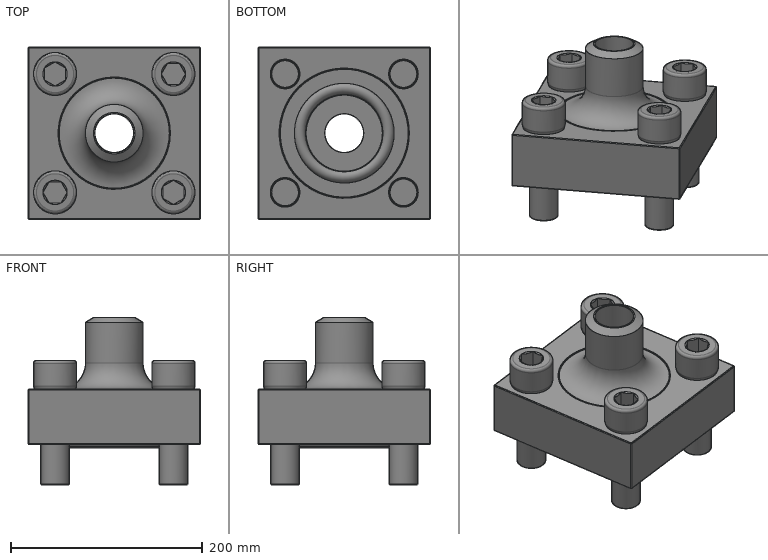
import cadquery as cq
import math

plate_width = 180.0
plate_thickness = 58.0
plate_chamfer = 0.9

bolt_spacing = 123.7
bolt_hole_diameter = 31.0

shank_diameter = 30.0
shank_length = 100.0
shank_end_chamfer = 1.0
head_diameter = 45.0
head_height = shank_diameter
head_top_fillet = 3.0
head_taper_height = 3.0
head_taper_angle = 15.0
socket_corner_diameter = 25.4
socket_depth = 18.0
socket_countersink_angle = 30.0

pipe_diameter = 60.3
pipe_top = 74.9
bore_diameter = 40.3
weld_bevel_height = 5.0
weld_bevel_width = 8.5
hub_diameter = 115.0
hub_opening_diameter = 115.5
hub_opening_chamfer = 0.9
collar_diameter = 135.0
collar_opening_diameter = 136.0
collar_height = 28.8
collar_projection = 2.2
collar_chamfer = 0.7

groove_inner_diameter = 79.5
groove_outer_diameter = 104.2
seal_mean_diameter = 92.5
seal_projection = 1.5

plate_bottom = -plate_thickness
collar_bottom = plate_bottom - collar_projection
collar_top = collar_bottom + collar_height
hub_fillet = (hub_diameter - pipe_diameter) / 2
seal_section_radius = (groove_outer_diameter - seal_mean_diameter) / 2
seal_center_z = collar_bottom - seal_projection + seal_section_radius
groove_depth = 2 * seal_section_radius - seal_projection


def cylinder(diameter, bottom, height):
    """Upright cylinder on the pipe axis."""
    return cq.Workplane("XY", origin=(0, 0, bottom)).circle(diameter / 2).extrude(height)


def make_plate():
    """Square flange plate with a stepped centre opening and four bolt holes."""
    block = (
        cq.Workplane("XY", origin=(0, 0, plate_bottom))
        .rect(plate_width, plate_width)
        .extrude(plate_thickness)
        .edges()
        .chamfer(plate_chamfer)
    )
    bolt_holes = (
        cq.Workplane("XY", origin=(0, 0, plate_bottom))
        .rect(bolt_spacing, bolt_spacing, forConstruction=True)
        .vertices()
        .circle(bolt_hole_diameter / 2)
        .extrude(plate_thickness)
    )
    hub_opening = cylinder(hub_opening_diameter, plate_bottom, plate_thickness)
    hub_opening_bevel = (
        cq.Workplane("XY")
        .circle(hub_opening_diameter / 2 + hub_opening_chamfer)
        .extrude(-hub_opening_chamfer, taper=45)
    )
    collar_recess_depth = collar_top - plate_bottom
    collar_recess = cylinder(collar_opening_diameter, plate_bottom, collar_recess_depth)
    return block.cut(bolt_holes).cut(hub_opening).cut(hub_opening_bevel).cut(collar_recess)


def make_weld_neck():
    """Bored pipe stub that flares into a hub, with a retaining collar and a seal groove below."""
    bore = bore_diameter / 2
    pipe = pipe_diameter / 2
    hub = hub_diameter / 2
    collar = collar_diameter / 2
    fillet_middle = hub_fillet * math.sin(math.radians(45))
    neck = (
        cq.Workplane("XZ")
        .moveTo(bore, collar_bottom)
        .lineTo(collar - collar_chamfer, collar_bottom)
        .lineTo(collar, collar_bottom + collar_chamfer)
        .lineTo(collar, collar_top)
        .lineTo(hub, collar_top)
        .lineTo(hub, 0)
        .threePointArc((hub - fillet_middle, hub_fillet - fillet_middle), (pipe, hub_fillet))
        .lineTo(pipe, pipe_top - weld_bevel_height)
        .lineTo(pipe - weld_bevel_width, pipe_top)
        .lineTo(bore, pipe_top)
        .close()
        .revolve(360, (0, 0), (0, 1))
    )
    groove = cylinder(groove_outer_diameter, collar_bottom, groove_depth).cut(
        cylinder(groove_inner_diameter, collar_bottom, groove_depth)
    )
    return neck.cut(groove)


def make_seal():
    """O-ring in the groove, standing proud of the collar face."""
    middle = seal_mean_diameter / 2
    section_plane = cq.Plane(origin=(middle, 0, seal_center_z), xDir=(0, 0, -1), normal=(0, 1, 0))
    return cq.Workplane(section_plane).circle(seal_section_radius).revolve(360, (0, middle), (1, middle))


def make_bolt():
    """Socket head cap screw on the Z axis, with its head seated on Z = 0."""
    head_taper_width = head_taper_height * math.tan(math.radians(head_taper_angle))
    head = (
        cylinder(head_diameter, 0, head_height)
        .faces(">Z")
        .edges()
        .fillet(head_top_fillet)
        .faces("<Z")
        .edges()
        .chamfer(head_taper_height, head_taper_width)
    )
    shank = cylinder(shank_diameter, -shank_length, shank_length).faces("<Z").chamfer(shank_end_chamfer)
    socket = (
        cq.Workplane("XY", origin=(0, 0, head_height))
        .polygon(6, socket_corner_diameter)
        .extrude(-socket_depth)
    )
    countersink_radius = socket_corner_diameter / 2
    countersink_depth = countersink_radius * math.tan(math.radians(socket_countersink_angle))
    countersink_tip = cq.Vector(0, 0, head_height - countersink_depth)
    countersink = cq.Workplane(
        cq.Solid.makeCone(0, countersink_radius, countersink_depth, countersink_tip)
    )
    return head.union(shank).cut(socket).cut(countersink)


def make_bolts():
    """Four bolts set by quarter turns about the pipe axis."""
    corner_bolt = make_bolt().translate((-bolt_spacing / 2, -bolt_spacing / 2, 0))
    return [corner_bolt.rotate((0, 0, 0), (0, 0, 1), 90 * turn) for turn in range(4)]


plate = make_plate()
weld_neck = make_weld_neck()
seal = make_seal()
bolts = make_bolts()

result = cq.Compound.makeCompound(
    [plate.val(), weld_neck.val(), seal.val(), *[bolt.val() for bolt in bolts]]
)